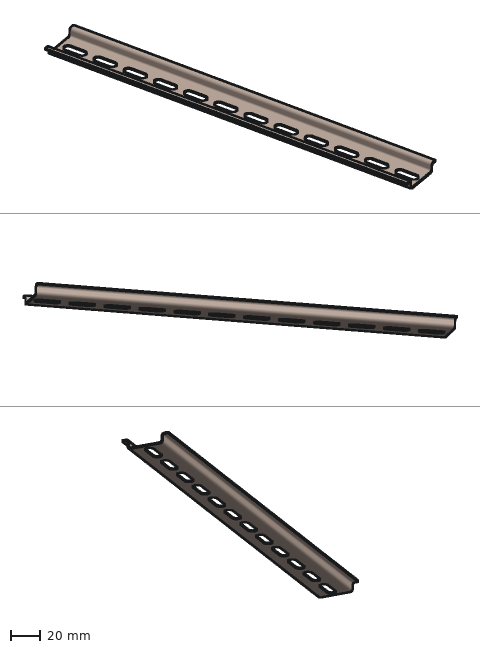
import cadquery as cq

length = 300.0
overall_width = 35.0
height = 7.5
thickness = 1.0
channel_outer_width = 27.0
bend_outer_radius = 2.5

slot_count = 12
slot_length = 18.0
slot_width = 6.3
slot_pitch = length / slot_count
slot_row_shift = 0.5

half_width = overall_width / 2
wall_outside = channel_outer_width / 2
wall_inside = wall_outside - thickness
bend_inner_radius = bend_outer_radius - thickness
bend_start = wall_outside - bend_outer_radius
bend_end = wall_inside + bend_outer_radius
wall_bottom = bend_outer_radius
wall_top = height - bend_outer_radius


def make_rail():
    """Bent sheet of constant thickness: half the section, extruded and mirrored."""
    half_section = (
        cq.Workplane("YZ")
        .moveTo(0, 0)
        .lineTo(bend_start, 0)
        .radiusArc((wall_outside, wall_bottom), -bend_outer_radius)
        .lineTo(wall_outside, wall_top)
        .radiusArc((bend_end, height - thickness), bend_inner_radius)
        .lineTo(half_width, height - thickness)
        .lineTo(half_width, height)
        .lineTo(bend_end, height)
        .radiusArc((wall_inside, wall_top), -bend_outer_radius)
        .lineTo(wall_inside, wall_bottom)
        .radiusArc((bend_start, thickness), bend_inner_radius)
        .lineTo(0, thickness)
        .close()
    )
    half_rail = half_section.extrude(length / 2, both=True)
    return half_rail.union(half_rail.mirror("XZ")).clean()


def cut_slots(rail):
    """Evenly spaced round-ended slots along the middle of the floor."""
    slots = (
        cq.Workplane("XY", origin=(slot_row_shift, 0, 0))
        .rarray(slot_pitch, 3, slot_count, 1)
        .slot2D(slot_length, slot_width)
        .extrude(thickness)
    )
    return rail.cut(slots)


result = cut_slots(make_rail())